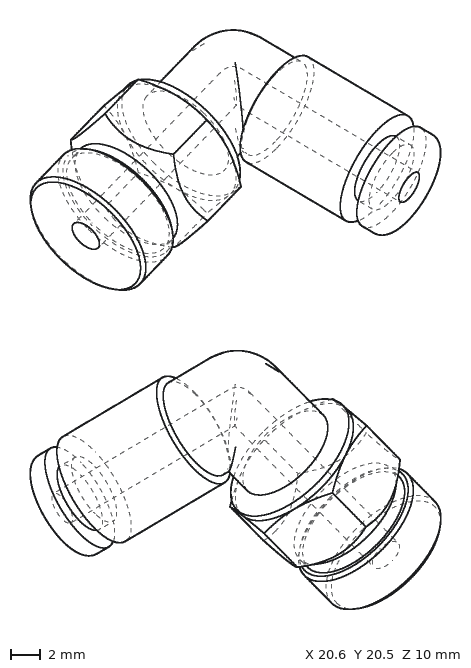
import cadquery as cq
import math


elbow_radius = 3.6
lead_angle = math.radians(20)

arm_radius = 4.1
arm_lead_start = 3.5
arm_sleeve_end = 12.1
release_neck_radius = 2.5
collar_radius = 3.85
collar_start = 13.3
arm_length = 14.8
collar_rounding = 0.5

stem_lead_start = 5.3
hex_start = 6.3
hex_end = 11.9
hex_sides = 6
hex_across_flats = 10.0
hex_bevel_angle = math.radians(30)
relief_radius = 4.32
thread_start = 12.85
thread_diameter = 9.73
thread_chamfer = 0.25
stem_length = 16.4

bore_radius = 1.15

flange_radius = hex_across_flats / 2
hex_corner_radius = flange_radius / math.cos(math.pi / hex_sides)
thread_radius = thread_diameter / 2


def lead_length(outer_radius):
    """Axial length of the cone that widens from the elbow to outer_radius."""
    return (outer_radius - elbow_radius) * math.tan(lead_angle)


def revolve_arm(profile):
    """Revolve (distance, radius) points about the X axis."""
    return cq.Workplane("XY").polyline(profile).close().revolve(360, (0, 0), (1, 0))


def revolve_stem(profile):
    """Revolve (distance, radius) points about the Y axis, distance running to -Y."""
    points = [(radius, -distance) for distance, radius in profile]
    return cq.Workplane("XY").polyline(points).close().revolve(360, (0, 0), (0, 1))


def mitred_bend(radius, arm_end, stem_end):
    """Two round bars along +X and -Y, with a quarter ball rounding the corner where they meet."""
    arm_bar = cq.Workplane("YZ").circle(radius).extrude(arm_end)
    stem_bar = cq.Workplane("XZ").circle(radius).extrude(stem_end)
    corner_ball = (
        cq.Workplane("YZ")
        .moveTo(0, -radius)
        .threePointArc((radius, 0), (0, radius))
        .close()
        .revolve(90, (0, 0), (0, 1))
    )
    return arm_bar.union(stem_bar).union(corner_ball)


def make_arm():
    """Sleeve, narrow neck and rounded release collar."""
    sleeve_start = arm_lead_start + lead_length(arm_radius)
    arm = revolve_arm([
        (arm_lead_start, 0),
        (arm_lead_start, elbow_radius),
        (sleeve_start, arm_radius),
        (arm_sleeve_end, arm_radius),
        (arm_sleeve_end, release_neck_radius),
        (collar_start, release_neck_radius),
        (collar_start, collar_radius),
        (arm_length, collar_radius),
        (arm_length, 0),
    ])
    return arm.faces(">X").edges().fillet(collar_rounding)


def make_hex():
    """Hexagon with corners on X, turned to a shallow cone by the elbow and 45 degrees by the thread."""
    prism = (
        cq.Workplane("XZ", origin=(0, -hex_start, 0))
        .polygon(hex_sides, 2 * hex_corner_radius)
        .extrude(hex_end - hex_start)
    )
    corner_height = hex_corner_radius - flange_radius
    turned_blank = revolve_stem([
        (hex_start, 0),
        (hex_start, flange_radius),
        (hex_start + corner_height * math.tan(hex_bevel_angle), hex_corner_radius),
        (hex_end - (hex_corner_radius - relief_radius), hex_corner_radius),
        (hex_end, relief_radius),
        (hex_end, 0),
    ])
    return prism.intersect(turned_blank)


def make_flange():
    """Coned flange between the elbow and the hexagon."""
    return revolve_stem([
        (stem_lead_start, 0),
        (stem_lead_start, elbow_radius),
        (stem_lead_start + lead_length(flange_radius), flange_radius),
        (hex_start, flange_radius),
        (hex_start, 0),
    ])


def make_thread_end():
    """Relief groove and plain cylinder standing for the thread, chamfered at both ends."""
    chamfered_radius = thread_radius - thread_chamfer
    return revolve_stem([
        (hex_end, 0),
        (hex_end, relief_radius),
        (thread_start, relief_radius),
        (thread_start, chamfered_radius),
        (thread_start + thread_chamfer, thread_radius),
        (stem_length - thread_chamfer, thread_radius),
        (stem_length, chamfered_radius),
        (stem_length, 0),
    ])


elbow = mitred_bend(elbow_radius, arm_lead_start, stem_lead_start)
passage = mitred_bend(bore_radius, arm_length, stem_length)

result = (
    elbow
    .union(make_arm())
    .union(make_flange())
    .union(make_hex())
    .union(make_thread_end())
    .cut(passage)
)